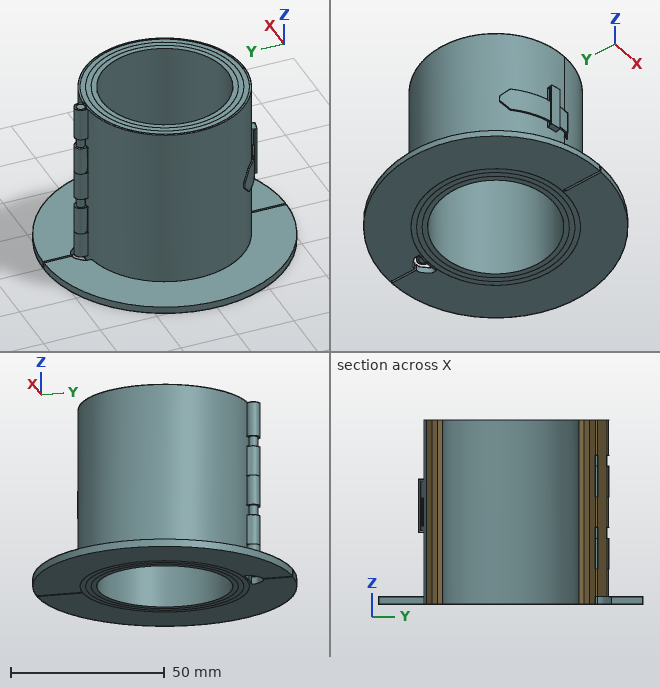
import cadquery as cq
import math

flange_diameter = 86.0
height = 60.0
flange_thickness = 2.5
mid_height = height / 2

bore_diameter = 44.3
sleeve_count = 3
sleeves_outer_diameter = 55.1
sleeve_thickness = (sleeves_outer_diameter - bore_diameter) / 2 / sleeve_count

shell_thickness = 0.7
shell_inner_radius = sleeves_outer_diameter / 2
shell_outer_radius = shell_inner_radius + shell_thickness
shell_gap = 0.2
flange_gap = 0.8

pin_diameter = 3.0
pin_radius = pin_diameter / 2
knuckle_thickness = 0.7
knuckle_radius = pin_radius + knuckle_thickness
hinge_y = shell_inner_radius + knuckle_radius
hinge_relief_width = 9.2
hinge_relief_reach = 32.85
hinge_relief_chamfer = 2.9
hinge_relief_rounding = 2.15
knuckle_length = 10.0
knuckle_spacing = 3.5
first_knuckle_length = 9.0
first_top = flange_thickness + first_knuckle_length
second_top = first_top + knuckle_length
third_top = second_top + knuckle_spacing + knuckle_length
fourth_top = third_top + knuckle_length
fifth_bottom = fourth_top + knuckle_spacing
left_knuckles = [
    (flange_thickness, first_top),
    (third_top - knuckle_length, third_top),
    (fifth_bottom, height),
]
right_knuckles = [
    (first_top, second_top),
    (third_top, fourth_top),
]

strap_width = 9.0
strap_thickness = 0.5
strap_inner_radius = 28.7
strap_outer_radius = strap_inner_radius + strap_thickness
strap_root_x = 1.55
strap_slope_start_x = 0.4
strap_tip_angle = 50.0
strap_tip_chamfer = 3.5
strap_relief_margin = 1.3

keeper_width = 3.6
keeper_bottom = 23.3
keeper_height = 17.5
keeper_thickness = 0.7
keeper_base_distance = 29.1
keeper_outer_distance = 30.3
keeper_angle = 12.1


def tube(inner_radius, outer_radius, length):
    return cq.Workplane("XY").circle(outer_radius).circle(inner_radius).extrude(length)


def box_between(x_range, y_range, z_range):
    """Axis-aligned box given by its limits."""
    (x0, x1), (y0, y1), (z0, z1) = x_range, y_range, z_range
    return cq.Workplane("XY").box(x1 - x0, y1 - y0, z1 - z0, centered=False).translate((x0, y0, z0))


def left_half(body, gap):
    """Part of the body on the -X side of a central gap."""
    reach = flange_diameter
    return body.intersect(box_between((-reach, -gap / 2), (-reach, reach), (0, height)))


def plain_left_shell():
    """Half tube with its half flange, relieved around the hinge."""
    shell = left_half(tube(shell_inner_radius, shell_outer_radius, height), shell_gap)
    relief_half_width = hinge_relief_width / 2
    relief = (
        box_between((-relief_half_width, relief_half_width), (0, hinge_relief_reach), (0, flange_thickness))
        .edges("|Z and >Y")
        .chamfer(hinge_relief_chamfer)
        .edges("|Z and (not <Y)")
        .fillet(hinge_relief_rounding)
    )
    flange = tube(shell_outer_radius, flange_diameter / 2, flange_thickness).cut(relief)
    return shell.union(left_half(flange, flange_gap))


def left_knuckle(z_bottom, z_top):
    """Leg rising from the left shell and curled over the pin to end beneath it."""
    leg_foot_y = (shell_inner_radius + shell_outer_radius) / 2
    return (
        cq.Workplane("XY", origin=(0, hinge_y, z_bottom))
        .moveTo(-knuckle_radius, leg_foot_y - hinge_y)
        .lineTo(-knuckle_radius, 0)
        .threePointArc((0, knuckle_radius), (knuckle_radius, 0))
        .threePointArc(
            (knuckle_radius * math.sqrt(0.5), -knuckle_radius * math.sqrt(0.5)), (0, -knuckle_radius)
        )
        .lineTo(0, -pin_radius)
        .threePointArc((pin_radius * math.sqrt(0.5), -pin_radius * math.sqrt(0.5)), (pin_radius, 0))
        .threePointArc((0, pin_radius), (-pin_radius, 0))
        .lineTo(-pin_radius, leg_foot_y - hinge_y)
        .close()
        .extrude(z_top - z_bottom)
    )


def hinged_left_shell(own_knuckles, other_knuckles):
    """Left shell with its knuckles and with notches for those of the other shell."""
    shell = plain_left_shell()
    for z_range in other_knuckles:
        shell = shell.cut(box_between((-knuckle_radius, 0), (0, hinge_y), z_range))
    for z_bottom, z_top in own_knuckles:
        shell = shell.union(left_knuckle(z_bottom, z_top))
    return shell


def around_axis(radius, angle):
    """Point on a circle about the main axis, at an angle in degrees from -Y towards -X."""
    a = math.radians(angle)
    return (-radius * math.sin(a), -radius * math.cos(a))


def strap():
    """Sheet that rises from the right shell edge and follows the left shell to a chamfered tip."""
    half_angle = strap_tip_angle / 2
    outer_drop = strap_outer_radius - shell_outer_radius
    inner_drop = strap_inner_radius - shell_inner_radius
    inner_slope_start_x = strap_slope_start_x - strap_thickness * math.tan(math.radians(22.5))
    body = (
        cq.Workplane("XY", origin=(0, 0, mid_height - strap_width / 2))
        .moveTo(strap_root_x + shell_thickness, -shell_inner_radius)
        .lineTo(strap_root_x + shell_thickness, -shell_outer_radius + shell_thickness / 2)
        .lineTo(strap_slope_start_x + outer_drop, -shell_outer_radius)
        .lineTo(strap_slope_start_x, -strap_outer_radius)
        .lineTo(0, -strap_outer_radius)
        .threePointArc(
            around_axis(strap_outer_radius, half_angle), around_axis(strap_outer_radius, strap_tip_angle)
        )
        .lineTo(*around_axis(strap_inner_radius, strap_tip_angle))
        .threePointArc(around_axis(strap_inner_radius, half_angle), (0, -strap_inner_radius))
        .lineTo(inner_slope_start_x, -strap_inner_radius)
        .lineTo(inner_slope_start_x + inner_drop, -shell_inner_radius)
        .close()
        .extrude(strap_width)
    )
    x, y = around_axis((strap_inner_radius + strap_outer_radius) / 2, strap_tip_angle)
    for side in (-1, 1):
        corner = (x, y, mid_height + side * strap_width / 2)
        body = body.edges(cq.selectors.NearestToPointSelector(corner)).chamfer(strap_tip_chamfer)
    return body


def keeper():
    """Rectangular frame with its base plate on the shell, open sideways for the strap."""
    half_width = keeper_width / 2
    keeper_top = keeper_bottom + keeper_height
    frame = box_between(
        (-half_width, half_width),
        (-keeper_outer_distance, -shell_inner_radius),
        (keeper_bottom, keeper_top),
    )
    opening = box_between(
        (-half_width, half_width),
        (keeper_thickness - keeper_outer_distance, -keeper_base_distance),
        (keeper_bottom + keeper_thickness, keeper_top - keeper_thickness),
    )
    inside = cq.Workplane("XY").circle((shell_inner_radius + shell_outer_radius) / 2).extrude(height)
    return frame.cut(opening).rotate((0, 0, 0), (0, 0, 1), -keeper_angle).cut(inside)


def strap_relief():
    """Notch in the right shell beside the root of the strap."""
    half_height = strap_width / 2 + strap_relief_margin
    return box_between(
        (0, strap_root_x),
        (-strap_outer_radius, -shell_inner_radius + shell_thickness),
        (mid_height - half_height, mid_height + half_height),
    )


clamp_strap = strap()
left_shell = hinged_left_shell(left_knuckles, right_knuckles).union(keeper().cut(clamp_strap))
right_shell = hinged_left_shell(right_knuckles, left_knuckles).mirror("YZ").cut(strap_relief()).union(clamp_strap)
hinge_pin = (
    cq.Workplane("XY", origin=(0, hinge_y, flange_thickness)).circle(pin_radius).extrude(height - flange_thickness)
)
sleeves = []
for index in range(sleeve_count):
    inner = bore_diameter / 2 + index * sleeve_thickness
    sleeves.append(tube(inner, inner + sleeve_thickness, height).val())

result = cq.Compound.makeCompound([left_shell.val(), right_shell.val(), hinge_pin.val(), *sleeves])